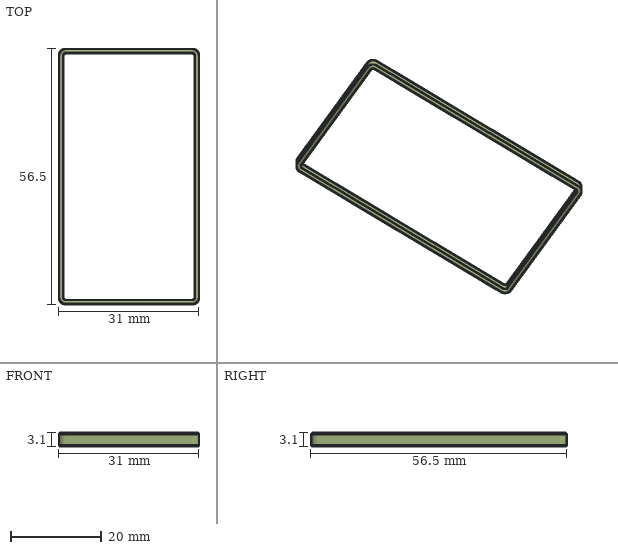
import math

import cadquery as cq

width = 31.0
length = 56.5
height = 3.1

wall = 1.0
crest_radius = 0.3

corner_radius = 1.52

bevel_angle = math.radians(45)
crest_half_width = crest_radius * math.sin(bevel_angle)
crest_rise = crest_radius * (1 - math.cos(bevel_angle))
bevel_run = wall / 2 - crest_half_width
bevel_drop = bevel_run * math.tan(bevel_angle)


def wall_section():
    """Section of the wall on the -X side, with a bevelled, rounded top and bottom."""
    outer = -width / 2
    inner = outer + wall
    middle = outer + wall / 2
    crest_outer = middle - crest_half_width
    crest_inner = middle + crest_half_width
    top_crest_base = height - crest_rise
    bottom_crest_base = crest_rise
    side_top = top_crest_base - bevel_drop
    side_bottom = bottom_crest_base + bevel_drop
    return (
        cq.Workplane("XZ")
        .moveTo(outer, side_bottom)
        .lineTo(outer, side_top)
        .lineTo(crest_outer, top_crest_base)
        .threePointArc((middle, height), (crest_inner, top_crest_base))
        .lineTo(inner, side_top)
        .lineTo(inner, side_bottom)
        .lineTo(crest_inner, bottom_crest_base)
        .threePointArc((middle, 0), (crest_outer, bottom_crest_base))
        .close()
    )


def frame_path():
    """Outer plan outline with rounded corners, starting midway along the -X side."""
    half_x = width / 2
    half_y = length / 2
    straight_x = half_x - corner_radius
    straight_y = half_y - corner_radius
    return (
        cq.Workplane("XY")
        .moveTo(-half_x, 0)
        .lineTo(-half_x, straight_y)
        .radiusArc((-straight_x, half_y), corner_radius)
        .lineTo(straight_x, half_y)
        .radiusArc((half_x, straight_y), corner_radius)
        .lineTo(half_x, -straight_y)
        .radiusArc((straight_x, -half_y), corner_radius)
        .lineTo(-straight_x, -half_y)
        .radiusArc((-half_x, -straight_y), corner_radius)
        .close()
    )


result = wall_section().sweep(frame_path()).clean()